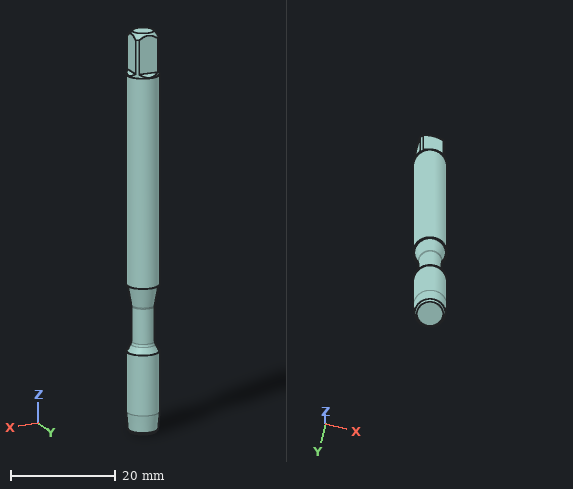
import cadquery as cq

total_length = 80.1
shank_diameter = 6.5
thread_diameter = 6.5
neck_diameter = 4.5

tip_diameter = 5.05
tip_chamfer_height = 0.5
lead_small_diameter = 5.85
lead_top = 4.0
thread_top = 16.0

shoulder_large_diameter = 6.25
neck_bottom = 17.7
neck_top = 25.15
neck_fillet_radius = 1.2
height_tolerance = 0.1
taper_large_diameter = 6.0
taper_top = 29.3

square_width = 4.9
square_bottom = 72.2
square_corner_diameter = 6.25
shank_top = 71.4
top_face_diameter = 4.2
top_chamfer_height = 1.1


def turned(profile):
    """Revolve (diameter, height) corners, listed bottom to top, about the Z axis."""
    outline = [(diameter / 2, height) for diameter, height in profile]
    first_height = profile[0][1]
    last_height = profile[-1][1]
    return (
        cq.Workplane("XZ")
        .polyline([(0, first_height), *outline, (0, last_height)])
        .close()
        .revolve(360, (0, 0, 0), (0, 1, 0))
    )


def make_threaded_tip():
    """Plain envelope of the thread, with its tapered lead and end chamfer."""
    return turned([
        (tip_diameter, 0),
        (lead_small_diameter, tip_chamfer_height),
        (thread_diameter, lead_top),
        (thread_diameter, thread_top),
    ])


def make_flat_cutter():
    """Prism that cuts the +X flat and the 45 degree ramp at its lower end."""
    flat = square_width / 2
    outside = shank_diameter
    ramp_drop = outside - flat
    return (
        cq.Workplane("XZ")
        .moveTo(flat, total_length)
        .lineTo(flat, square_bottom)
        .lineTo(outside, square_bottom - ramp_drop)
        .lineTo(outside, total_length)
        .close()
        .extrude(shank_diameter, both=True)
    )


def make_shank():
    """Neck, taper and shank, with four flats forming the driving square."""
    shank = turned([
        (shoulder_large_diameter, thread_top),
        (neck_diameter, neck_bottom),
        (neck_diameter, neck_top),
        (taper_large_diameter, taper_top),
        (shank_diameter, taper_top),
        (shank_diameter, shank_top),
        (square_corner_diameter, shank_top),
        (square_corner_diameter, total_length - top_chamfer_height),
        (top_face_diameter, total_length),
    ])
    for height in (neck_bottom, neck_top):
        neck_edge = cq.selectors.BoxSelector(
            (-shank_diameter, -shank_diameter, height - height_tolerance),
            (shank_diameter, shank_diameter, height + height_tolerance),
        )
        shank = shank.edges("%CIRCLE").edges(neck_edge).fillet(neck_fillet_radius)

    flat_cutter = make_flat_cutter()
    for angle in (0, 90, 180, 270):
        shank = shank.cut(flat_cutter.rotate((0, 0, 0), (0, 0, 1), angle))
    return shank


threaded_tip = make_threaded_tip()
shank = make_shank()

result = cq.Compound.makeCompound([threaded_tip.val(), shank.val()])